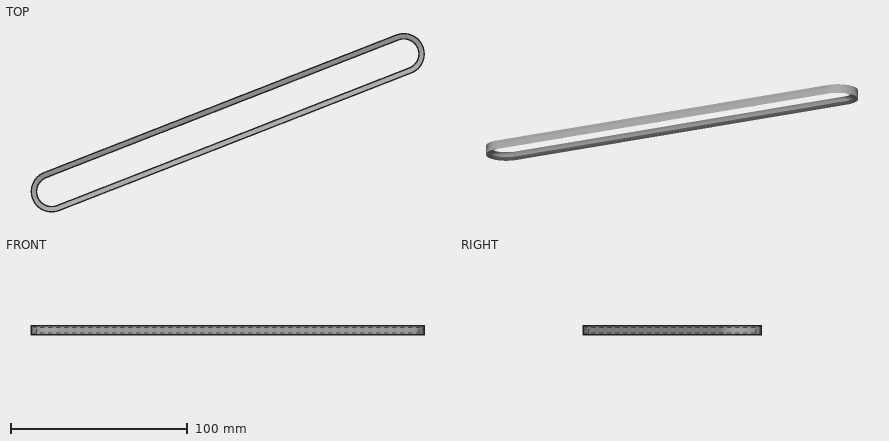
import cadquery as cq
import math

length_x = 222.6
length_y = 101.0
belt_width = 5.1

outer_radius = 11.5
belt_thickness = 3.1
flank_angle = 20.0
inner_width = belt_width - 2 * belt_thickness * math.tan(math.radians(flank_angle))

center_span_x = length_x - 2 * outer_radius
center_span_y = length_y - 2 * outer_radius
half_span = math.hypot(center_span_x, center_span_y) / 2
tilt_angle = math.degrees(math.atan2(center_span_y, center_span_x))


def belt_path():
    """Stadium-shaped outer line of the belt, starting mid-way along one straight."""
    return (
        cq.Workplane("XY")
        .moveTo(0, -outer_radius)
        .lineTo(half_span, -outer_radius)
        .threePointArc((half_span + outer_radius, 0), (half_span, outer_radius))
        .lineTo(-half_span, outer_radius)
        .threePointArc((-half_span - outer_radius, 0), (-half_span, -outer_radius))
        .close()
    )


def belt_section():
    """Trapezoid across the belt, set at the start of the path."""
    inner_face = belt_thickness - outer_radius
    return cq.Workplane("YZ").polyline([
        (-outer_radius, -belt_width / 2),
        (inner_face, -inner_width / 2),
        (inner_face, inner_width / 2),
        (-outer_radius, belt_width / 2),
    ]).close()


belt = belt_section().sweep(belt_path()).clean()
result = belt.rotate((0, 0, 0), (0, 0, 1), tilt_angle)